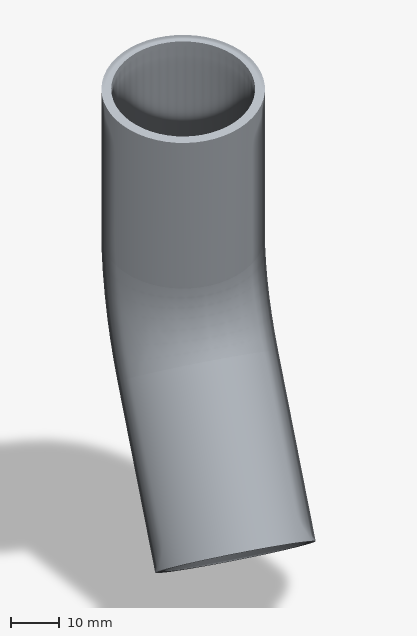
import cadquery as cq
import math

overall_height = 107.1
outer_diameter = 33.7
wall = 2.0
bend_radius = 38.0
bend_angle = 45.0

outer_radius = outer_diameter / 2
inner_radius = outer_radius - wall
bend_sin = math.sin(math.radians(bend_angle))
bend_cos = math.cos(math.radians(bend_angle))
bend_drop = (bend_radius + outer_radius) * bend_sin
leg_length = (overall_height - bend_drop) / (1 + bend_cos)


def bent_rod(radius):
    """Solid round bar: upright leg, bend towards +X, then a sloping leg."""
    profile = cq.Workplane("XY").circle(radius)
    upright_leg = profile.extrude(leg_length)

    bend = cq.Workplane("XY").circle(radius).revolve(
        bend_angle, (bend_radius, 0, 0), (bend_radius, -1, 0)
    )

    bend_end = cq.Plane(
        origin=(bend_radius * (1 - bend_cos), 0, -bend_radius * bend_sin),
        xDir=(0, 1, 0),
        normal=(bend_sin, 0, -bend_cos),
    )
    sloping_leg = cq.Workplane(bend_end).circle(radius).extrude(leg_length)
    return upright_leg.union(bend).union(sloping_leg)


result = bent_rod(outer_radius).cut(bent_rod(inner_radius))